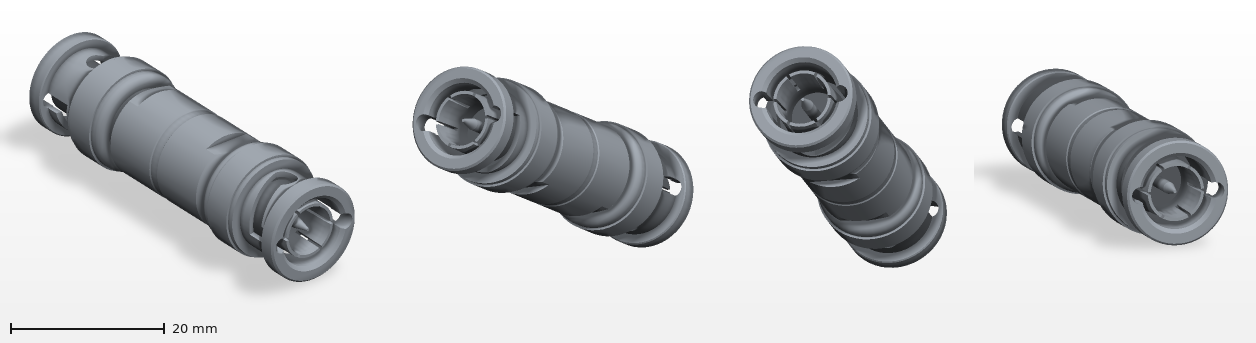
import cadquery as cq
import math


end_x = 25.7
flange_back_x = 23.3
barrel_back_x = 17.25
grip_band_outer_x = 16.45
grip_band_inner_x = 12.45
nut_back_x = 10.7
neck_x = 10.1
cone_x = 9.0
flat_inner_x = 7.2
groove_half_width = 0.8
sleeve_tip_x = 24.8
tine_root_x = 19.9
pin_taper_x = 21.95
pin_tip_x = 24.4

barrel_diameter = 11.25
flange_radius = 6.95
grip_band_radius = 7.25
barrel_radius = barrel_diameter / 2
bore_radius = 4.85
mouth_radius = 5.35
neck_radius = 5.25
body_radius = 6.4
groove_radius = 6.25
sleeve_root_radius = 4.1
tine_root_radius = 3.95
tine_tip_radius = 3.85
sleeve_bore_radius = 3.25
sleeve_mouth_radius = 3.45
pin_radius = 0.75
pin_tip_radius = 0.2

flange_front_chamfer = 0.25
flange_back_chamfer = 0.15
grip_back_fillet = 1.0

flat_height = 5.5

tine_slot_count = 6
tine_slot_width = 0.4

lug_groove_radius = 1.15
lug_groove_offset = 5.2
lock_hole_x = 19.55
lock_hole_radius = 1.7
ramp_angle = 14.5
ramp_width = 2.3


def revolve_about_x(profile):
    """Revolve a closed profile in the XY plane, given on the -Y side, about X."""
    return profile.close().revolve(360, (0, 0, 0), (1, 0, 0))


def body_blank():
    """Solid of the central body: grooved barrel, cones, necks, contact sleeves and pins."""
    groove_depth = body_radius - groove_radius
    half = [
        (groove_half_width - groove_depth, groove_radius),
        (groove_half_width, body_radius),
        (cone_x, body_radius),
        (neck_x, neck_radius),
        (barrel_back_x, neck_radius),
        (barrel_back_x, sleeve_root_radius),
        (tine_root_x, tine_root_radius),
        (sleeve_tip_x, tine_tip_radius),
        (sleeve_tip_x, sleeve_mouth_radius),
        (tine_root_x, sleeve_bore_radius),
        (barrel_back_x, sleeve_bore_radius),
        (barrel_back_x, pin_radius),
        (pin_taper_x, pin_radius),
        (pin_tip_x, pin_tip_radius),
        (pin_tip_x, 0),
    ]
    right = [(x, -radius) for x, radius in half]
    left = [(-x, -radius) for x, radius in reversed(half)]
    return revolve_about_x(cq.Workplane("XY").polyline(left + right))


def wrench_flats():
    """Four blocks that leave flats above and below at both ends of the body."""
    length = neck_x - flat_inner_x
    height = body_radius - flat_height
    centres = [
        (sign_x * (flat_inner_x + length / 2), 0, sign_z * (flat_height + height / 2))
        for sign_x in (-1, 1)
        for sign_z in (-1, 1)
    ]
    return cq.Workplane("XY").pushPoints(centres).box(length, 2 * body_radius, height)


def tine_slots():
    """Radial slots that split both sleeves into spring tines."""
    length = sleeve_tip_x - tine_root_x
    inner_radius = (pin_radius + sleeve_bore_radius) / 2
    depth = sleeve_root_radius - inner_radius
    slots = []
    for sign in (-1, 1):
        for index in range(tine_slot_count):
            slot = (
                cq.Workplane("XY")
                .box(length, depth, tine_slot_width)
                .translate((sign * (tine_root_x + length / 2), inner_radius + depth / 2, 0))
                .rotate((0, 0, 0), (1, 0, 0), index * 360 / tine_slot_count)
            )
            slots.append(slot)
    return slots


def make_body():
    """Central body with its wrench flats and slotted sleeves."""
    body = body_blank().cut(wrench_flats())
    for slot in tine_slots():
        body = body.cut(slot)
    return body


def nut_blank():
    """Revolved coupling nut at the +X end, with its stepped bore."""
    mouth_chamfer = mouth_radius - bore_radius
    fillet_reach = grip_back_fillet * (1 - math.sqrt(0.5))
    profile = (
        cq.Workplane("XY")
        .moveTo(end_x, -mouth_radius)
        .lineTo(end_x, -(flange_radius - flange_front_chamfer))
        .lineTo(end_x - flange_front_chamfer, -flange_radius)
        .lineTo(flange_back_x + flange_back_chamfer, -flange_radius)
        .lineTo(flange_back_x, -(flange_radius - flange_back_chamfer))
        .lineTo(flange_back_x, -barrel_radius)
        .lineTo(barrel_back_x, -barrel_radius)
        .lineTo(barrel_back_x, -flange_radius)
        .lineTo(grip_band_outer_x, -flange_radius)
        .lineTo(grip_band_outer_x, -grip_band_radius)
        .lineTo(grip_band_inner_x, -grip_band_radius)
        .lineTo(grip_band_inner_x, -flange_radius)
        .lineTo(nut_back_x + grip_back_fillet, -flange_radius)
        .threePointArc(
            (nut_back_x + fillet_reach, -(flange_radius - fillet_reach)),
            (nut_back_x, -(flange_radius - grip_back_fillet)),
        )
        .lineTo(nut_back_x, -neck_radius)
        .lineTo(barrel_back_x, -neck_radius)
        .lineTo(barrel_back_x, -bore_radius)
        .lineTo(end_x - mouth_chamfer, -bore_radius)
    )
    return revolve_about_x(profile)


def bayonet_track():
    """Cutters for one lug: groove and entry slot at -Y, ramp, and locking hole at +Z."""
    lug_groove = (
        cq.Workplane("YZ", origin=(flange_back_x, 0, 0))
        .center(-lug_groove_offset, 0)
        .circle(lug_groove_radius)
        .extrude(end_x - flange_back_x)
    )
    lock_hole = (
        cq.Workplane("XY")
        .center(lock_hole_x, 0)
        .circle(lock_hole_radius)
        .extrude(barrel_radius)
    )
    lean = math.radians(ramp_angle)
    inner_edge_x = lock_hole_x - lock_hole_radius / math.cos(lean)
    outer_edge_x = inner_edge_x + ramp_width / math.cos(lean)
    shift = barrel_radius * math.tan(lean)
    ramp = (
        cq.Workplane("XY", origin=(0, 0, -lug_groove_radius))
        .moveTo(inner_edge_x, 0)
        .lineTo(outer_edge_x, 0)
        .lineTo(outer_edge_x + shift, -barrel_radius)
        .lineTo(inner_edge_x + shift, -barrel_radius)
        .close()
        .extrude(barrel_radius + lug_groove_radius)
    )
    entry_end_x = inner_edge_x + shift
    entry = (
        cq.Workplane("XY")
        .box(flange_back_x - entry_end_x, barrel_radius, 2 * lug_groove_radius)
        .translate(((flange_back_x + entry_end_x) / 2, -barrel_radius, 0))
    )
    return [lug_groove, entry, lock_hole, ramp]


def make_nut(turn):
    """Coupling nut at the +X end, turned about Z to the wanted end."""
    nut = nut_blank()
    for cutter in bayonet_track():
        nut = nut.cut(cutter)
        nut = nut.cut(cutter.rotate((0, 0, 0), (1, 0, 0), 180))
    return nut.rotate((0, 0, 0), (0, 0, 1), turn)


body = make_body()
nuts = [make_nut(turn) for turn in (0, 180)]

result = cq.Compound.makeCompound([body.val(), *(nut.val() for nut in nuts)])